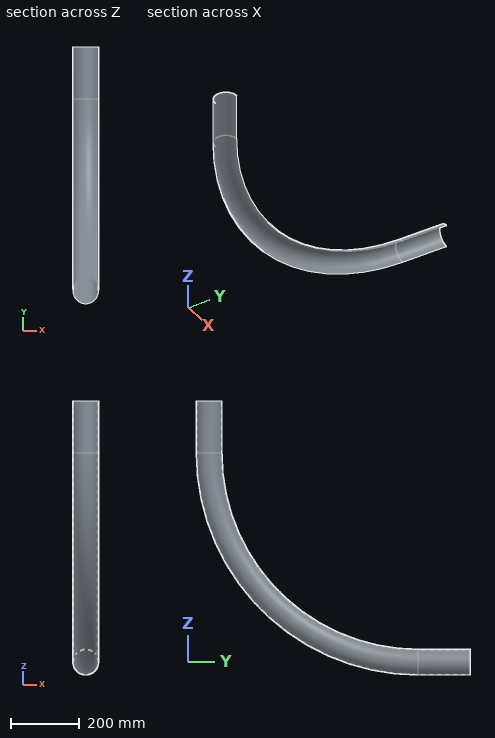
import cadquery as cq

outer_diameter = 76.2
inner_diameter = 71.98
bend_radius = 609.6
straight_length = 152.4
bend_angle = 90


def ring(plane):
    """Annular tube cross-section on the given plane."""
    return cq.Workplane(plane).circle(outer_diameter / 2).circle(inner_diameter / 2)


def straight_end(plane):
    """Straight tube running from the bend along the plane's normal."""
    return ring(plane).extrude(straight_length)


upright_start = cq.Plane(origin=(0, -bend_radius, 0), xDir=(1, 0, 0), normal=(0, 0, 1))
level_start = cq.Plane(origin=(0, 0, -bend_radius), xDir=(1, 0, 0), normal=(0, 1, 0))

bend = ring(upright_start).revolve(bend_angle, (0, bend_radius, 0), (1, bend_radius, 0))

result = bend.union(straight_end(upright_start)).union(straight_end(level_start))